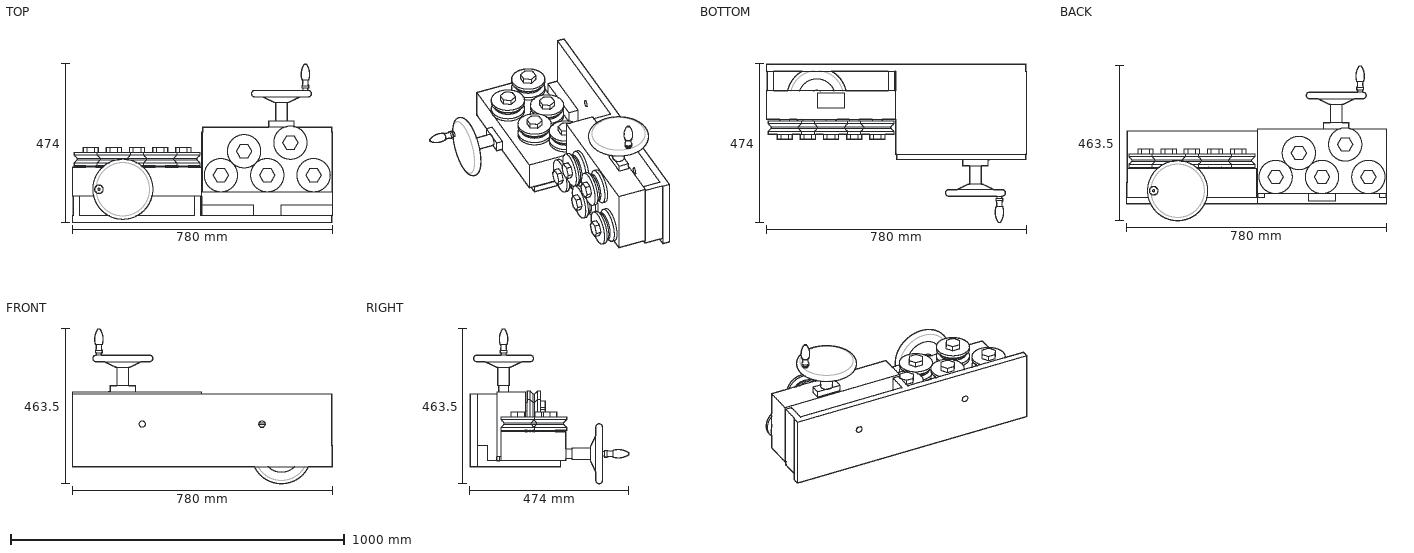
import cadquery as cq


total_length = 780.0
plate_length = 778.0
plate_thickness = 22.0
plate_height = 218.5
mount_hole_diameter = 19.0
mount_hole_spacing = 359.0
mount_hole_height = 128.0

block_length = 388.0
block_depth = 194.0
block_thickness = 86.5

roller_diameter = 100.0
roller_width = 40.5
groove_depth = 9.0
groove_root_width = 5.0
roller_pitch = 69.5
roller_lifts = [0.0, 72.0, 0.0, 97.5, 0.0]
spacer_diameter = 30.0
spacer_height = 4.0
bolt_across_corners = 46.0
bolt_height = 15.0

boss_length = 76.5
boss_width = 30.0
boss_height = 19.0
boss_x = 236.0
boss_z = 20.0

shaft_diameter = 35.0
shaft_length = 54.5
hub_small_diameter = 43.0
hub_large_diameter = 111.0
hub_height = 16.0
wheel_face_diameter = 160.0
rim_radius = 10.0
grip_offset = 72.0

grip_stem_diameter = 15.0
grip_stem_height = 6.0
grip_collar_diameter = 21.0
grip_collar_height = 7.0
grip_neck_diameter = 17.0
grip_neck_height = 18.0
grip_base_diameter = 21.0
grip_belly_diameter = 26.0
grip_belly_height = 20.0
grip_tip_diameter = 6.5
grip_length = 47.5

wall_thickness = 19.5
wall_inset = 2.0
wall_end_y = 79.5
shelf_start_x = 388.0
shelf_thickness = 19.0
shelf_end_y = 271.0
flange_thickness = 30.5
flange_height = 63.0
notch_width = 81.0

tab_length = notch_width
tab_width = 44.5
tab_height = 22.0
tab_setback = 8.0

upright_block_z = 30.5
flat_block_x = plate_length - block_length
flat_block_y = 92.0


def box(size_x, size_y, size_z, corner):
    return cq.Workplane("XY").box(size_x, size_y, size_z, centered=False).translate(corner)


def make_frame():
    plate = box(plate_length, plate_thickness, plate_height, (0, 0, 0))
    holes = (
        cq.Workplane("XZ")
        .pushPoints([
            (plate_length / 2 - mount_hole_spacing / 2, mount_hole_height),
            (plate_length / 2 + mount_hole_spacing / 2, mount_hole_height),
        ])
        .circle(mount_hole_diameter / 2)
        .extrude(-plate_thickness)
    )
    frame = plate.cut(holes)

    wall_length = wall_end_y - plate_thickness
    wall_height = plate_height - shelf_thickness
    for wall_x in (wall_inset, block_length - wall_inset - wall_thickness):
        corner = (wall_x, plate_thickness, shelf_thickness)
        frame = frame.union(box(wall_thickness, wall_length, wall_height, corner))

    shelf_length = total_length - shelf_start_x
    shelf_corner = (shelf_start_x, plate_thickness, 0)
    shelf = box(shelf_length, shelf_end_y - plate_thickness, shelf_thickness, shelf_corner)
    flange = box(shelf_length, flange_thickness, flange_height, shelf_corner)
    notch_x = shelf_start_x + (shelf_length - notch_width) / 2
    notch_corner = (notch_x, plate_thickness, shelf_thickness)
    notch = box(notch_width, flange_thickness, flange_height, notch_corner)
    return frame.union(shelf).union(flange.cut(notch))


def make_roller():
    outer_radius = roller_diameter / 2
    root_radius = outer_radius - groove_depth
    base = spacer_height
    middle = base + roller_width / 2
    top = base + roller_width
    root_half = groove_root_width / 2
    mouth_half = root_half + groove_depth
    wheel = (
        cq.Workplane("XZ")
        .polyline([
            (0, base),
            (outer_radius, base),
            (outer_radius, middle - mouth_half),
            (root_radius, middle - root_half),
            (root_radius, middle + root_half),
            (outer_radius, middle + mouth_half),
            (outer_radius, top),
            (0, top),
        ])
        .close()
        .revolve(360, (0, 0, 0), (0, 1, 0))
    )
    spacer = cq.Workplane("XY").circle(spacer_diameter / 2).extrude(base)
    bolt_head = (
        cq.Workplane("XY").workplane(offset=top).polygon(6, bolt_across_corners).extrude(bolt_height)
    )
    return wheel.union(spacer).union(bolt_head)


def make_carriage():
    carriage = box(block_length, block_depth, block_thickness, (0, 0, 0))
    boss_corner = (boss_x - boss_length / 2, block_depth, boss_z - boss_width / 2)
    carriage = carriage.union(box(boss_length, boss_height, boss_width, boss_corner))

    roller = make_roller()
    middle_index = (len(roller_lifts) - 1) / 2
    for index, lift in enumerate(roller_lifts):
        roller_x = block_length / 2 + (index - middle_index) * roller_pitch
        roller_y = roller_diameter / 2 + lift
        carriage = carriage.union(roller.translate((roller_x, roller_y, block_thickness)))
    return carriage


def make_tab():
    tab_x = (block_length - tab_length) / 2
    return box(tab_length, tab_height, tab_width, (tab_x, -tab_height, tab_setback))


def make_grip():
    collar_start = grip_stem_height
    neck_start = collar_start + grip_collar_height
    base_start = neck_start + grip_neck_height
    collar_slope = (-1, 1)
    along_grip = (0, 1)
    profile = (
        cq.Workplane("XY")
        .lineTo(grip_stem_diameter / 2, 0)
        .lineTo(grip_stem_diameter / 2, collar_start)
        .lineTo(grip_collar_diameter / 2, collar_start)
        .lineTo(grip_collar_diameter / 2, neck_start)
        .spline(
            [(grip_neck_diameter / 2, base_start)],
            tangents=[collar_slope, along_grip],
            includeCurrent=True,
        )
        .lineTo(grip_base_diameter / 2, base_start)
        .spline(
            [
                (grip_belly_diameter / 2, base_start + grip_belly_height),
                (grip_tip_diameter / 2, base_start + grip_length),
            ],
            includeCurrent=True,
        )
        .lineTo(0, base_start + grip_length)
        .close()
    )
    return profile.revolve(360, (0, 0, 0), (0, 1, 0))


def make_handwheel():
    hub_start = shaft_length
    rim_start = hub_start + hub_height
    face = rim_start + 2 * rim_radius
    face_radius = wheel_face_diameter / 2
    wheel = (
        cq.Workplane("XY")
        .lineTo(shaft_diameter / 2, 0)
        .lineTo(shaft_diameter / 2, hub_start)
        .lineTo(hub_small_diameter / 2, hub_start)
        .lineTo(hub_large_diameter / 2, rim_start)
        .lineTo(face_radius, rim_start)
        .threePointArc((face_radius + rim_radius, rim_start + rim_radius), (face_radius, face))
        .lineTo(0, face)
        .close()
        .revolve(360, (0, 0, 0), (0, 1, 0))
    )
    handwheel = wheel.union(make_grip().translate((grip_offset, face, 0)))
    return handwheel.translate((boss_x, block_depth + boss_height, boss_z))


def place_flat(body):
    return body.translate((flat_block_x, flat_block_y, shelf_thickness))


def place_upright(body):
    turned = body.rotate((0, 0, 0), (0, 1, 1), 180)
    return turned.translate((block_length, wall_end_y, upright_block_z))


frame = make_frame()
flat_carriage = place_flat(make_carriage())
upright_carriage = place_upright(make_carriage().union(make_tab()))
handwheels = [place(make_handwheel()) for place in (place_flat, place_upright)]

result = cq.Compound.makeCompound([
    frame.val(),
    flat_carriage.val(),
    upright_carriage.val(),
    *[handwheel.val() for handwheel in handwheels],
])